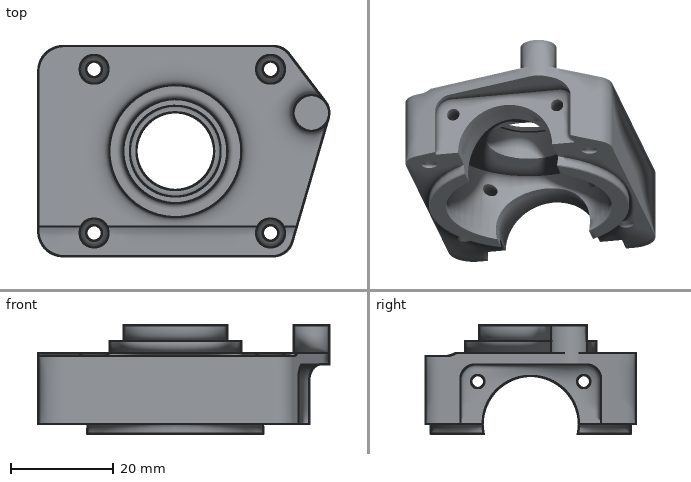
import cadquery as cq
import math


overall_length = 56.85
overall_depth = 41.1
left_x = -26.8
half_depth = overall_depth / 2
body_top = 13.85
left_corner_radius = 5.0
right_corner_radius = 4.0
right_corner_x = 19.05

pin_diameter = 7.0
pin_x = left_x + overall_length - pin_diameter / 2
pin_y = 7.45

collar_diameter = 25.75
collar_top = 16.25
neck_diameter = 20.3
neck_top = 19.3
neck_recess_diameter = 17.75
neck_recess_depth = 0.6
lip_diameter = 15.1
lip_thickness = 0.85
bore_diameter = 16.5
flange_diameter = 39.1
flange_thickness = 2.0
flange_chamfer = 0.15
pocket_diameter = 32.4
pocket_top = 12.2

tunnel_radius = 9.4
recess_width = 27.5
recess_top = 11.65
recess_corner_radius = 3.0
recess_floor_x = 22.8
cross_hole_diameter = 2.5
cross_hole_y = 10.35
cross_hole_z = 8.3

screw_left_x = -15.85
screw_right_x = 18.6
screw_y = 16.0
screw_hole_diameter = 3.0
counterbore_diameter = 5.6
counterbore_depth = 4.0

step_y = -14.65
step_drop = 0.55
step_blend_radius = 3.4

cut_margin = 5.7
x_reach = overall_length + 2 * cut_margin
recess_reach = 17.05


def cylinder(diameter, bottom, top, x=0.0, y=0.0):
    """Upright cylinder between two heights."""
    return cq.Workplane("XY", origin=(x, y, bottom)).circle(diameter / 2).extrude(top - bottom)


def tangent_normal(start, start_radius, end, end_radius):
    """Unit normal of the line touching two circles on the right of the path from start to end."""
    dx = end[0] - start[0]
    dy = end[1] - start[1]
    lean = math.asin((start_radius - end_radius) / math.hypot(dx, dy))
    angle = math.atan2(dy, dx) - math.pi / 2 + lean
    return math.cos(angle), math.sin(angle)


def on_arc(center, radius, direction):
    """Point on a circle in a given direction from its center."""
    length = math.hypot(*direction)
    return (center[0] + radius * direction[0] / length, center[1] + radius * direction[1] / length)


def between(first, second):
    """Direction halfway between two unit directions."""
    return first[0] + second[0], first[1] + second[1]


def housing_block():
    """Plate with round corners whose right end tapers to the pin."""
    pin_radius = pin_diameter / 2
    left_y = half_depth - left_corner_radius
    left_center_x = left_x + left_corner_radius
    right_y = half_depth - right_corner_radius
    front = (right_corner_x, -right_y)
    back = (right_corner_x, right_y)
    pin = (pin_x, pin_y)
    front_normal = tangent_normal(front, right_corner_radius, pin, pin_radius)
    back_normal = tangent_normal(pin, pin_radius, back, right_corner_radius)
    left_back = (left_center_x, left_y)
    left_front = (left_center_x, -left_y)
    down, up = (0, -1), (0, 1)
    outline = (
        cq.Workplane("XY")
        .moveTo(left_center_x, -half_depth)
        .lineTo(right_corner_x, -half_depth)
        .threePointArc(
            on_arc(front, right_corner_radius, between(down, front_normal)),
            on_arc(front, right_corner_radius, front_normal),
        )
        .lineTo(*on_arc(pin, pin_radius, front_normal))
        .threePointArc(
            on_arc(pin, pin_radius, between(front_normal, back_normal)),
            on_arc(pin, pin_radius, back_normal),
        )
        .lineTo(*on_arc(back, right_corner_radius, back_normal))
        .threePointArc(
            on_arc(back, right_corner_radius, between(back_normal, up)),
            (right_corner_x, half_depth),
        )
        .lineTo(left_center_x, half_depth)
        .threePointArc(on_arc(left_back, left_corner_radius, (-1, 1)), (left_x, left_y))
        .lineTo(left_x, -left_y)
        .threePointArc(on_arc(left_front, left_corner_radius, (-1, -1)), (left_center_x, -half_depth))
        .close()
    )
    return outline.extrude(body_top)


def front_step():
    """Material above the lowered strip, ending in a concave blend."""
    floor_z = body_top - step_drop
    blend_width = math.sqrt(step_blend_radius**2 - (step_blend_radius - step_drop) ** 2)
    floor_y = step_y - blend_width
    half_angle = math.asin(blend_width / step_blend_radius) / 2
    arc_middle = (
        floor_y + step_blend_radius * math.sin(half_angle),
        floor_z + step_blend_radius * (1 - math.cos(half_angle)),
    )
    return (
        cq.Workplane("YZ", origin=(-x_reach / 2, 0, 0))
        .moveTo(step_y, body_top)
        .threePointArc(arc_middle, (floor_y, floor_z))
        .lineTo(-half_depth - cut_margin, floor_z)
        .lineTo(-half_depth - cut_margin, body_top)
        .close()
        .extrude(x_reach)
    )


def end_recess(side):
    """Round-cornered recess open at the bottom; side is -1 for left and +1 for right."""
    bottom = -cut_margin
    return (
        cq.Workplane("XY", origin=(side * (recess_floor_x + recess_reach / 2), 0, bottom))
        .box(recess_reach, recess_width, recess_top - bottom, centered=(True, True, False))
        .edges("|X and >Z")
        .fillet(recess_corner_radius)
    )


def along_x(diameter, y, z):
    """Cylinder running through the whole part along X."""
    return cq.Workplane("YZ", origin=(-x_reach / 2, y, z)).circle(diameter / 2).extrude(x_reach)


def screw_hole(x, y):
    """Through hole with a counterbore from the top face."""
    hole = cylinder(screw_hole_diameter, -cut_margin, body_top, x, y)
    return hole.union(cylinder(counterbore_diameter, body_top - counterbore_depth, body_top, x, y))


body = housing_block().cut(front_step())
for side in (-1, 1):
    body = body.cut(end_recess(side))

flange = cylinder(flange_diameter, -flange_thickness, 0).faces("<Z").chamfer(flange_chamfer)
body = body.union(flange)
body = body.union(cylinder(collar_diameter, body_top, collar_top))
body = body.union(cylinder(neck_diameter, collar_top, neck_top))
body = body.union(cylinder(pin_diameter, body_top, neck_top, pin_x, pin_y))

neck_recess_floor = neck_top - neck_recess_depth
body = body.cut(cylinder(neck_recess_diameter, neck_recess_floor, neck_top))
body = body.cut(cylinder(lip_diameter, pocket_top, neck_top))
body = body.cut(cylinder(bore_diameter, pocket_top, neck_recess_floor - lip_thickness))
body = body.cut(cylinder(pocket_diameter, -flange_thickness, pocket_top))

body = body.cut(along_x(2 * tunnel_radius, 0, 0))
for y in (-cross_hole_y, cross_hole_y):
    body = body.cut(along_x(cross_hole_diameter, y, cross_hole_z))

for x in (screw_left_x, screw_right_x):
    for y in (-screw_y, screw_y):
        body = body.cut(screw_hole(x, y))

result = body